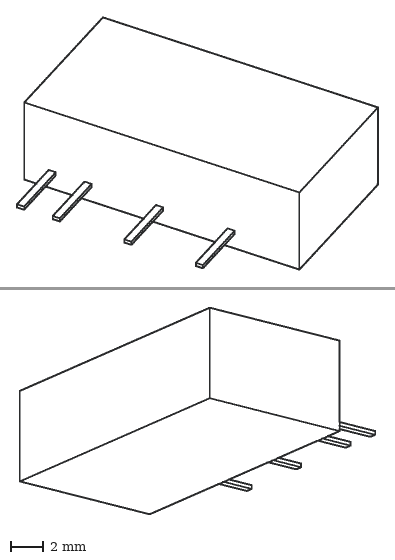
import cadquery as cq

body_length = 19.6
body_depth = 10.2
body_height = 6.0

pin_length = 4.12
pin_width = 0.5
pin_thickness = 0.25
pin_pitch = 2.55
first_pin_x = 2.0
pin_center_z = 1.25
pin_slots = (0, 1, 3, 5)


def make_body():
    return cq.Workplane("XY").box(body_length, body_depth, body_height, centered=False)


def make_pin(slot):
    center_x = first_pin_x + slot * pin_pitch
    return (
        cq.Workplane("XZ")
        .center(center_x, pin_center_z)
        .rect(pin_width, pin_thickness)
        .extrude(pin_length)
    )


result = make_body()
for slot in pin_slots:
    result = result.union(make_pin(slot))